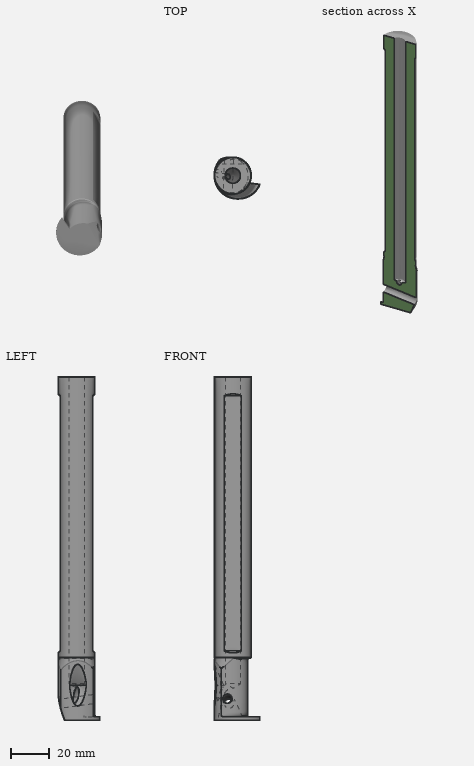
import cadquery as cq
import math

total_length = 177.22
shaft_diameter = 19.05
shaft_radius = shaft_diameter / 2
lip_reach_x = 13.92
lip_reach_y = 12.085

shaft_start = 32.0
shaft_edge_chamfer = 0.4
flat_half_spacing = 8.5
flat_start = 35.8
flat_end = 167.5
flat_run_out = 1.2

bore_diameter = 7.9
bore_bottom = 19.0
drill_tip_angle = 118.0

outer_center = (2.65, 0.165)
outer_radius = lip_reach_y + outer_center[1]
core_center_x = -1.75
core_radius = shaft_radius
shoulder_radius = 9.3
shoulder_flare = 11.0
root_fillet = 0.6

lip_thickness = 1.85
lip_face_inner_y = -3.7
lip_face_drop = 0.75
lip_fillet = 0.6

relief_top = (9.8, 17.0)
relief_middle = (8.65, 7.8)
relief_bottom = (6.2, 0.0)

pocket_diameter = 8.8
pocket_point = (-9.6, -0.85, 18.1)
pocket_tilt = 24.0
cross_hole_diameter = 4.7
cross_hole_x = -2.85
cross_hole_z = 11.2
cross_hole_drop = 8.0
cross_hole_swing = 2.5

coolant_diameter = 2.6
coolant_start = (-12.0, 0.8, 7.8)
coolant_end = (0.0, -0.8, bore_bottom + 2.0)

margin = 10.0
corner_tolerance = 0.05


def cylinder(radius, start, direction, length):
    return cq.Workplane(obj=cq.Solid.makeCylinder(radius, length, cq.Vector(*start), cq.Vector(*direction)))


def outer_disc(height):
    return cq.Workplane().center(*outer_center).circle(outer_radius).extrude(height)


def make_shaft():
    shaft = (
        cq.Workplane(origin=(0, 0, shaft_start))
        .circle(shaft_radius)
        .extrude(total_length - shaft_start)
        .faces("<Z")
        .chamfer(shaft_edge_chamfer)
    )
    for side in (-1, 1):
        shaft = shaft.cut(flat_cutter(side))
    return shaft


def flat_cutter(side):
    """Prism that mills one long flat with 45 degree run-outs at both ends."""
    return (
        cq.Workplane("YZ", origin=(-shaft_radius, 0, 0))
        .moveTo(side * flat_half_spacing, flat_start)
        .lineTo(side * (flat_half_spacing + flat_run_out), flat_start - flat_run_out)
        .lineTo(side * (flat_half_spacing + flat_run_out), flat_end + flat_run_out)
        .lineTo(side * flat_half_spacing, flat_end)
        .close()
        .extrude(shaft_diameter)
    )


def make_shoulder_limit():
    """Cone that trims the top of the head down to the shaft."""
    height = shaft_start + shaft_edge_chamfer
    base_radius = shoulder_radius + height * math.tan(math.radians(shoulder_flare))
    return (
        cq.Workplane("XZ")
        .polyline([(0, 0), (base_radius, 0), (shoulder_radius, height), (0, height)])
        .close()
        .revolve(360, (0, 0, 0), (0, 1, 0))
    )


def make_head():
    """Core of the head, limited by the clearance circle and the shoulder cone."""
    height = shaft_start + shaft_edge_chamfer
    core = cylinder(core_radius, (core_center_x, 0, 0), (0, 0, 1), height)
    return core.intersect(outer_disc(height)).intersect(make_shoulder_limit())


def make_lip():
    """Crescent of the outer circle in front of the slightly raked cutting face."""
    tip_y = lip_face_inner_y - lip_face_drop
    front_y = -lip_reach_y - margin
    core_right = core_center_x + core_radius
    area = (
        cq.Workplane()
        .polyline([
            (core_right, lip_face_inner_y),
            (lip_reach_x, tip_y),
            (lip_reach_x, front_y),
            (-lip_reach_x, front_y),
            (-lip_reach_x, lip_face_inner_y),
        ])
        .close()
        .extrude(lip_thickness)
    )
    return outer_disc(lip_thickness).intersect(area)


def make_relief():
    """Curved sweep along X that clears the rear of the head towards its end."""
    return (
        cq.Workplane("YZ", origin=(-shaft_diameter, 0, 0))
        .moveTo(*relief_bottom)
        .threePointArc(relief_middle, relief_top)
        .lineTo(relief_top[0] + margin, relief_top[1])
        .lineTo(relief_top[0] + margin, relief_bottom[1])
        .close()
        .extrude(2 * shaft_diameter)
    )


def make_bore():
    """Axial bore from the shaft end, with a drill-point bottom."""
    radius = bore_diameter / 2
    tip_depth = radius / math.tan(math.radians(drill_tip_angle / 2))
    return (
        cq.Workplane("XZ")
        .polyline([
            (0, bore_bottom - tip_depth),
            (radius, bore_bottom),
            (radius, total_length),
            (0, total_length),
        ])
        .close()
        .revolve(360, (0, 0, 0), (0, 1, 0))
    )


def make_pocket():
    """V-shaped pocket, the common space of a rising and a falling cylinder."""
    return pocket_cylinder(1).intersect(pocket_cylinder(-1))


def pocket_cylinder(rise):
    tilt = math.radians(pocket_tilt)
    direction = (math.sin(tilt), 0, rise * math.cos(tilt))
    x, y, z = pocket_point
    half_length = 2 * shaft_diameter
    start = (x - half_length * direction[0], y, z - half_length * direction[2])
    return cylinder(pocket_diameter / 2, start, direction, 2 * half_length)


def make_coolant_hole():
    """Slanted hole that links the pocket floor to the bottom of the axial bore."""
    direction = tuple(end - start for start, end in zip(coolant_start, coolant_end))
    return cylinder(coolant_diameter / 2, coolant_start, direction, math.dist(coolant_start, coolant_end))


def make_cross_hole():
    """Through hole from front to rear that runs slightly downwards."""
    drop = math.radians(cross_hole_drop)
    swing = math.radians(cross_hole_swing)
    direction = (math.sin(swing), math.cos(drop), -math.sin(drop))
    mouth = (cross_hole_x, -core_radius, cross_hole_z)
    start = tuple(place - margin * step for place, step in zip(mouth, direction))
    return cylinder(cross_hole_diameter / 2, start, direction, 2 * shaft_diameter)


def make_body():
    """Shaft and head with rounded inner corners at the lip and under the shaft."""
    head = make_head().union(make_lip())
    head = head.edges(core_zone(lip_thickness)).edges("%CIRCLE").fillet(lip_fillet)
    body = make_shaft().union(head)
    return body.edges(core_zone(shaft_start)).edges(cq.selectors.RadiusNthSelector(-1)).fillet(root_fillet)


def core_zone(height):
    """Selector for edges at one height that lie within the core circle."""
    reach = core_radius + corner_tolerance
    return cq.selectors.BoxSelector(
        (core_center_x - reach, -reach, height - corner_tolerance),
        (core_center_x + reach, reach, height + corner_tolerance),
        boundingbox=True,
    )


result = make_body()
for cutter in (make_relief(), make_bore(), make_pocket(), make_coolant_hole(), make_cross_hole()):
    result = result.cut(cutter)